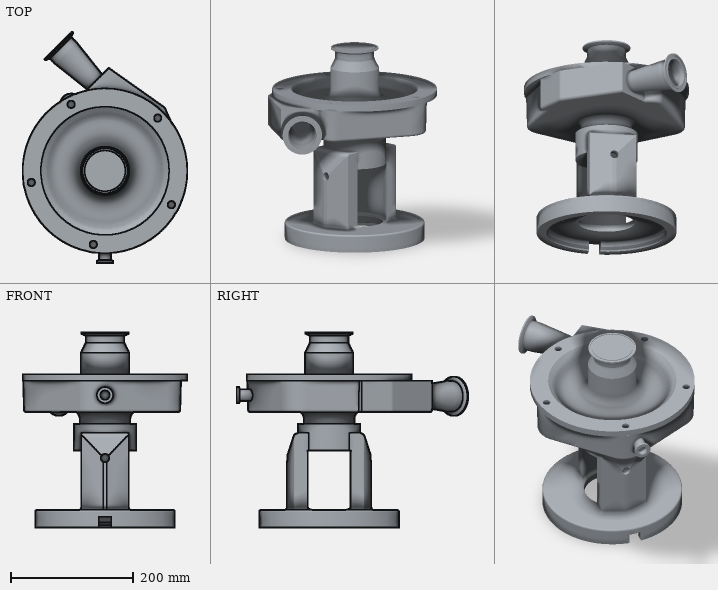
import cadquery as cq
import math

base_top = 28.8
leg_top = 155.0
collar_bottom = 125.8
collar_top = 169.7
body_bottom = 188.5
flange_bottom = 240.2
flange_top = 250.8
inlet_top = 319.5
nozzle_z = 215.0
drain_z = 216.7

base_radius = 114.5
base_edge_round = 3.0
base_hole_radius = 46.2
base_hole_round = 1.5
cavity_radius = 98.5
cavity_height = 17.5
cavity_round = 2.3
seal_groove_top = 8.5
seal_groove_depth = 3.8
notch_width = 19.7

leg_half_width = 39.0
leg_shoulder_y = 57.2
leg_nose_y = 69.5
leg_nose_width = 6.0
leg_bore_radius = 52.3
leg_slope_start_y = 56.5
leg_slope_end_z = 114.8
leg_edge_round = 2.0
leg_top_round = 10.0
leg_foot_round = 4.0
leg_hole_radius = 7.0
leg_hole_z = 113.5
leg_hole_depth = 15.0

collar_radius = 51.0
neck_radius = 41.5
neck_straight_top = 178.5
neck_flare_radius = 47.0

body_apothem = 115.0
body_corner_round = 36.0
body_tight_corner_round = 17.0
body_draft = 1.6
body_bottom_round = 4.5
first_corner_angle = -99.0
corner_angles = [first_corner_angle + 72.0 * i for i in range(5)]
tight_corner_angle = corner_angles[3]

flange_radius = 135.0
bolt_circle_radius = 122.0
bolt_hole_radius = 6.0
dish_radius = 105.0
dish_depth = 15.5
dish_round = 14.5

inlet_radius = 39.8
inlet_neck_radius = 32.0
inlet_cone_bottom = 285.5
inlet_cone_top = 302.0
inlet_rim_radius = 39.0
inlet_rim_thickness = 2.3
inlet_rim_height = 5.5
inlet_groove_inner_radius = 33.5
inlet_groove_outer_radius = 36.7
groove_depth = 1.0

nozzle_angle = 135.0
block_side_angle = 54.7
block_side_distance = 141.0
block_face_distance = 114.8
block_corner_round = 7.5
block_corner_angle = 47.0
block_end_angle = 24.0
block_end_distance = 131.5
nozzle_axis_offset = 91.0
nozzle_length = 84.0
nozzle_root_radius = 17.8
nozzle_root_length = 3.0
nozzle_mouth_radius = 25.0
nozzle_mouth_length = 17.8
nozzle_rim_radius = 32.2
nozzle_rim_thickness = 2.3
nozzle_rim_height = 5.3
nozzle_bore_mouth_radius = 23.0
nozzle_bore_waist_radius = 21.5
nozzle_bore_root_radius = 15.0
nozzle_bore_straight = 13.0
nozzle_groove_inner_radius = 25.8
nozzle_groove_outer_radius = 28.8

drain_end_y = -151.0
drain_radius = 10.0
drain_rim_radius = 13.3
drain_rim_thickness = 4.0
drain_hub_radius = 11.5
drain_hub_length = 1.0
drain_bore_radius = 7.5
drain_bore_depth = 19.0


def polar(radius, angle):
    """Plan coordinates of a point at a radius and an angle in degrees."""
    a = math.radians(angle)
    return (radius * math.cos(a), radius * math.sin(a))


def revolve_z(points):
    """Solid of revolution about Z from (radius, height) points."""
    return cq.Workplane("XZ").polyline(points).close().revolve(360, (0, 0), (0, 1))


def cylinder(radius, bottom, top):
    return cq.Workplane("XY").workplane(offset=bottom).circle(radius).extrude(top - bottom)


def tube(outer, inner, bottom, top):
    return cylinder(outer, bottom, top).cut(cylinder(inner, bottom, top))


def make_base():
    base = cylinder(base_radius, 0, base_top).faces(">Z").edges().fillet(base_edge_round)
    hole = cylinder(base_hole_radius, 0, base_top)
    base = base.cut(hole)
    base = base.faces(">Z").edges(cq.selectors.RadiusNthSelector(0)).fillet(base_hole_round)
    cavity = revolve_z([
        (0, 0),
        (cavity_radius, 0),
        (cavity_radius + seal_groove_depth, seal_groove_top / 2),
        (cavity_radius, seal_groove_top),
        (cavity_radius, cavity_height),
        (0, cavity_height),
    ])
    cavity = cavity.faces(">Z").edges().fillet(cavity_round)
    notch = cq.Workplane("XY").box(notch_width, base_radius, cavity_height, centered=(True, False, False))
    return base.cut(cavity).cut(notch.translate((0, -base_radius, 0)))


def make_leg():
    """Leg on the +Y side: a block with a pointed nose and a sloped top."""
    leg = (
        cq.Workplane("XY")
        .workplane(offset=base_top)
        .moveTo(-leg_half_width, 0)
        .lineTo(-leg_half_width, leg_shoulder_y)
        .lineTo(-leg_nose_width / 2, leg_nose_y)
        .lineTo(leg_nose_width / 2, leg_nose_y)
        .lineTo(leg_half_width, leg_shoulder_y)
        .lineTo(leg_half_width, 0)
        .close()
        .extrude(leg_top - base_top)
    )
    leg = leg.edges("|Z and (<X or >X) and (not <Y)").fillet(leg_edge_round)
    side_outline = (
        cq.Workplane("YZ")
        .polyline([
            (0, base_top),
            (leg_nose_y, base_top),
            (leg_nose_y, leg_slope_end_z),
            (leg_slope_start_y, leg_top),
            (0, leg_top),
        ])
        .close()
        .extrude(leg_half_width, both=True)
        .edges("|X and >Z and (not <Y)")
        .fillet(leg_top_round)
    )
    front_outline = (
        cq.Workplane("XY")
        .workplane(offset=base_top)
        .rect(2 * leg_half_width, 2 * leg_nose_y)
        .extrude(leg_top - base_top)
        .edges("|Y and >Z")
        .fillet(leg_edge_round)
    )
    leg = leg.intersect(side_outline).intersect(front_outline)
    hole = (
        cq.Workplane("XZ")
        .workplane(offset=-leg_nose_y)
        .center(0, leg_hole_z)
        .circle(leg_hole_radius)
        .extrude(leg_hole_depth)
    )
    return leg.cut(hole).cut(cylinder(leg_bore_radius, base_top, collar_bottom))


def make_stand():
    leg = make_leg()
    stand = make_base().union(leg).union(leg.mirror("XZ"))
    foot_edges = cq.selectors.BoxSelector(
        (-leg_half_width - 0.5, -leg_nose_y - 0.5, base_top - 0.5),
        (leg_half_width + 0.5, leg_nose_y + 0.5, base_top + 0.5),
        boundingbox=True,
    )
    stand = stand.edges(foot_edges).fillet(leg_foot_round)
    return stand.union(cylinder(collar_radius, collar_bottom, collar_top))


def make_neck():
    """Short neck above the collar, flaring out to meet the body."""
    rise = body_bottom - neck_straight_top
    flare = neck_flare_radius - neck_radius
    arc_radius = (rise**2 + flare**2) / (2 * flare)
    half_sweep = math.asin(rise / arc_radius) / 2
    mid_point = (
        neck_radius + arc_radius * (1 - math.cos(half_sweep)),
        neck_straight_top + arc_radius * math.sin(half_sweep),
    )
    return (
        cq.Workplane("XZ")
        .moveTo(0, collar_top)
        .lineTo(neck_radius, collar_top)
        .lineTo(neck_radius, neck_straight_top)
        .threePointArc(mid_point, (neck_flare_radius, body_bottom))
        .lineTo(0, body_bottom)
        .close()
        .revolve(360, (0, 0), (0, 1))
    )


def corner_arc(corner_round, corner_angle, face_distance, face_angle, angle):
    """Point at an angle on a corner round that touches a straight body side."""
    reach = (face_distance - corner_round) / math.cos(math.radians(face_angle - corner_angle))
    center_x, center_y = polar(reach, corner_angle)
    dx, dy = polar(corner_round, angle)
    return (center_x + dx, center_y + dy)


def make_pentagon():
    outline = cq.Workplane("XY").workplane(offset=body_bottom)
    half_turn = 36.0
    for angle in corner_angles:
        corner_round = body_tight_corner_round if angle == tight_corner_angle else body_corner_round
        start, middle, end = [
            corner_arc(corner_round, angle, body_apothem, angle + half_turn, angle + turn)
            for turn in (-half_turn, 0, half_turn)
        ]
        outline = outline.moveTo(*start) if angle == first_corner_angle else outline.lineTo(*start)
        outline = outline.threePointArc(middle, end)
    return outline.close().extrude(flange_bottom - body_bottom, taper=-body_draft)


def make_discharge_block():
    """Block whose straight side runs off one body corner to the nozzle face."""
    turn = math.radians(block_side_angle - nozzle_angle)
    along_face = (block_side_distance - block_face_distance * math.cos(turn)) / -math.sin(turn)
    face_x, face_y = polar(block_face_distance, nozzle_angle)
    step_x, step_y = polar(along_face, nozzle_angle - 90)
    peak = (face_x + step_x, face_y + step_y)
    arc_start, arc_middle, arc_end = [
        corner_arc(block_corner_round, block_corner_angle, block_side_distance, block_side_angle, angle)
        for angle in (block_side_angle, (block_side_angle + block_end_angle) / 2, block_end_angle)
    ]
    block = (
        cq.Workplane("XY")
        .workplane(offset=body_bottom)
        .moveTo(*peak)
        .lineTo(*arc_start)
        .threePointArc(arc_middle, arc_end)
        .lineTo(*polar(block_end_distance, block_end_angle))
        .lineTo(0, 0)
        .lineTo(face_x + step_x / 3, face_y + step_y / 3)
        .close()
        .extrude(flange_bottom - body_bottom)
    )
    side_middle = ((peak[0] + arc_start[0]) / 2, (peak[1] + arc_start[1]) / 2, body_bottom)
    arc_bottom = (arc_middle[0], arc_middle[1], body_bottom)
    block_bottom = block.faces("<Z")
    rounded_edges = block_bottom.edges(cq.selectors.NearestToPointSelector(side_middle)).add(
        block_bottom.edges(cq.selectors.NearestToPointSelector(arc_bottom))
    )
    return rounded_edges.fillet(body_bottom_round)


def make_body():
    pentagon = make_pentagon().faces("<Z").edges().fillet(body_bottom_round)
    return pentagon.union(make_discharge_block())


def make_flange():
    flange = cylinder(flange_radius, flange_bottom, flange_top)
    holes = (
        cq.Workplane("XY")
        .workplane(offset=flange_bottom)
        .pushPoints([polar(bolt_circle_radius, angle) for angle in corner_angles])
        .circle(bolt_hole_radius)
        .extrude(flange_top - flange_bottom)
    )
    return flange.cut(holes)


def make_dish_cut():
    """Ring-shaped hollow with a 45 degree outer wall around the inlet pipe."""
    floor = flange_top - dish_depth
    dish = revolve_z([
        (inlet_radius, floor),
        (dish_radius - dish_depth, floor),
        (dish_radius, flange_top),
        (inlet_radius, flange_top),
    ])
    return dish.faces("<Z").edges().fillet(dish_round)


def make_inlet():
    inlet = revolve_z([
        (0, body_bottom),
        (inlet_radius, body_bottom),
        (inlet_radius, inlet_cone_bottom),
        (inlet_neck_radius, inlet_cone_top),
        (inlet_neck_radius, inlet_top - inlet_rim_height),
        (inlet_rim_radius, inlet_top - inlet_rim_thickness),
        (inlet_rim_radius, inlet_top),
        (0, inlet_top),
    ])
    groove = tube(
        inlet_groove_outer_radius, inlet_groove_inner_radius, inlet_top - groove_depth, inlet_top
    )
    return inlet.cut(groove)


def place_on_block(part):
    """Lay a part built along +Z onto the block face, pointing outward."""
    face_x, face_y = polar(block_face_distance, nozzle_angle)
    shift_x, shift_y = polar(nozzle_axis_offset, nozzle_angle - 90)
    part = part.rotate((0, 0, 0), (0, 1, 0), 90).rotate((0, 0, 0), (0, 0, 1), nozzle_angle)
    return part.translate((face_x + shift_x, face_y + shift_y, nozzle_z))


def make_nozzle():
    mouth_start = nozzle_length - nozzle_mouth_length
    nozzle = revolve_z([
        (0, 0),
        (nozzle_root_radius, 0),
        (nozzle_root_radius, nozzle_root_length),
        (nozzle_mouth_radius, mouth_start),
        (nozzle_mouth_radius, nozzle_length - nozzle_rim_height),
        (nozzle_rim_radius, nozzle_length - nozzle_rim_thickness),
        (nozzle_rim_radius, nozzle_length),
        (0, nozzle_length),
    ])
    bore = revolve_z([
        (0, 0),
        (nozzle_bore_root_radius, 0),
        (nozzle_bore_waist_radius, nozzle_length - 2 * nozzle_bore_straight),
        (nozzle_bore_mouth_radius, nozzle_length - nozzle_bore_straight),
        (nozzle_bore_mouth_radius, nozzle_length),
        (0, nozzle_length),
    ])
    groove = tube(
        nozzle_groove_outer_radius,
        nozzle_groove_inner_radius,
        nozzle_length - groove_depth,
        nozzle_length,
    )
    return place_on_block(nozzle.cut(bore).cut(groove))


def make_drain():
    """Drain nozzle on -Y: a plain pipe with a stepped rim at its end."""
    rim_start = drain_end_y + drain_rim_thickness

    def pipe(radius, start_y, length):
        return (
            cq.Workplane("XZ")
            .workplane(offset=-start_y)
            .center(0, drain_z)
            .circle(radius)
            .extrude(-length)
        )

    root_length = -drain_end_y - body_apothem
    drain = pipe(drain_radius, drain_end_y, root_length)
    drain = drain.union(pipe(drain_rim_radius, drain_end_y, drain_rim_thickness))
    drain = drain.union(pipe(drain_hub_radius, rim_start, drain_hub_length))
    return drain, pipe(drain_bore_radius, drain_end_y, drain_bore_depth)


drain, drain_bore = make_drain()
result = (
    make_stand()
    .union(make_neck())
    .union(make_body())
    .union(make_flange())
    .cut(make_dish_cut())
    .union(make_inlet())
    .union(make_nozzle())
    .union(drain)
    .cut(drain_bore)
)